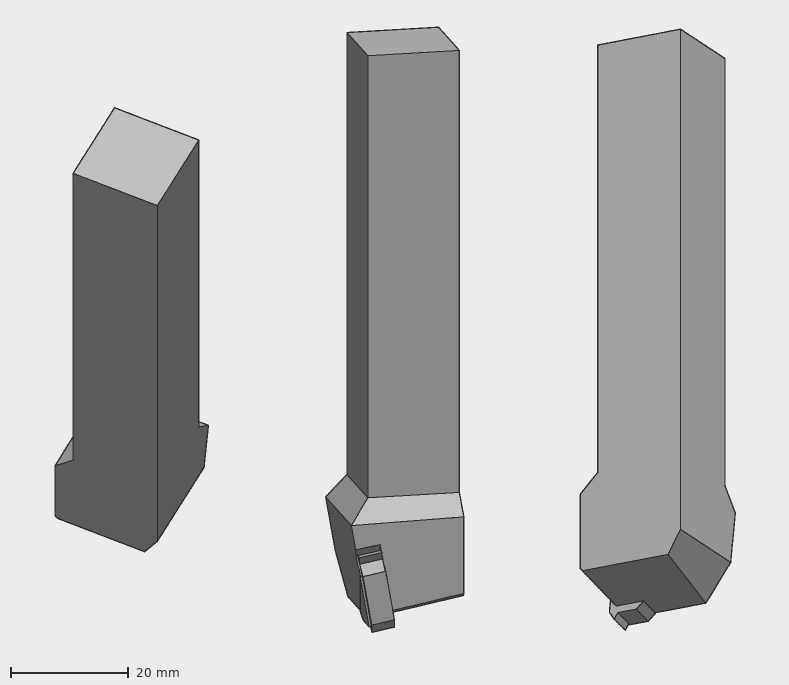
import cadquery as cq
import math

total_length = 100.3
shank_size = 16.0
head_left = -19.7
head_front_left = -19.4
head_back = 19.7
shoulder_top = 22.8
front_bottom = 5.4
corner_cut_width = 3.9
corner_cut_top = 9.5
corner_cut_bottom = 2.8
side_bottom_bevel = 0.5
tilt = 10.0
slope = math.tan(math.radians(tilt))
rake_top = shoulder_top - (head_back - shank_size)

insert_thickness = 4.0
pad_height = 0.4
seat_y = 12.0
seat_z = insert_thickness * math.sin(math.radians(tilt))
insert_left = -20.4
tip_x = -19.3
groove_x = -19.2
ridge_x = -20.1
side_top = 10.3
side_bottom = 1.6
groove_height = 12.2
ridge_height = 13.6
lobe_bottom = 1.6
lobe_left = -18.5
lobe_right = -15.2
heel_x = -13.8
heel_height = 2.5
pocket_top = 15.1
pocket_floor_x = -18.7
relief_overrun = 1.0
pad_left = -19.8
pad_bottom = 1.2


def seat_plane():
    """Plane of the insert seat: X across, second axis up the slope, normal towards the rake."""
    angle = math.radians(tilt)
    return cq.Plane(
        origin=(0, seat_y, seat_z),
        xDir=(-1, 0, 0),
        normal=(0, math.cos(angle), -math.sin(angle)),
    )


def seat_prism(points, thickness):
    """Extrude an outline given as (X, height up the seat) from the seat plane."""
    outline = [(-x, height) for x, height in points]
    return cq.Workplane(seat_plane()).polyline(outline).close().extrude(thickness)


def make_insert():
    body = seat_prism([
        (tip_x, 0),
        (lobe_left, lobe_bottom),
        (lobe_right, lobe_bottom),
        (heel_x, heel_height),
        (pocket_floor_x, ridge_height),
        (ridge_x, ridge_height),
        (groove_x, groove_height),
        (insert_left, side_top),
        (insert_left, side_bottom),
    ], insert_thickness)
    pad = seat_prism([
        (pad_left, pad_bottom),
        (lobe_right, pad_bottom),
        (heel_x, heel_height),
        (pad_left, side_top),
    ], insert_thickness + pad_height)
    return body.union(pad)


def make_head():
    def corner_x(z):
        cut_height = corner_cut_top - corner_cut_bottom
        return -corner_cut_width * (corner_cut_top - z) / cut_height

    def front_outline(y, left):
        shoulder_bottom = shoulder_top - (-left - shank_size)
        bottom = front_bottom - y * slope
        return cq.Wire.makePolygon([cq.Vector(x, y, z) for x, z in [
            (0, shoulder_top),
            (-shank_size, shoulder_top),
            (left, shoulder_bottom),
            (left, bottom + side_bottom_bevel),
            (left + side_bottom_bevel, bottom),
            (corner_x(bottom), bottom),
            (0, corner_cut_top),
        ]], close=True)

    bar = cq.Workplane(cq.Solid.makeLoft(
        [front_outline(0, head_front_left), front_outline(head_back, head_left)], True))

    profile = (
        cq.Workplane("YZ")
        .polyline([
            (0, 0),
            (head_back - rake_top * slope, 0),
            (head_back, rake_top),
            (shank_size, shoulder_top),
            (0, shoulder_top),
        ])
        .close()
        .extrude(insert_left)
    )
    return bar.intersect(profile)


def make_holder(insert):
    shank = (
        cq.Workplane("XY")
        .workplane(offset=shoulder_top)
        .rect(-shank_size, shank_size, centered=False)
        .extrude(total_length - shoulder_top)
    )
    relief = seat_prism([
        (insert_left, side_top),
        (groove_x, groove_height),
        (pocket_floor_x, ridge_height),
        (head_left, pocket_top),
        (insert_left, pocket_top),
    ], insert_thickness + relief_overrun)
    return shank.union(make_head()).cut(relief).cut(insert)


insert = make_insert()
holder = make_holder(insert)
result = cq.Compound.makeCompound([*holder.solids().vals(), *insert.solids().vals()])